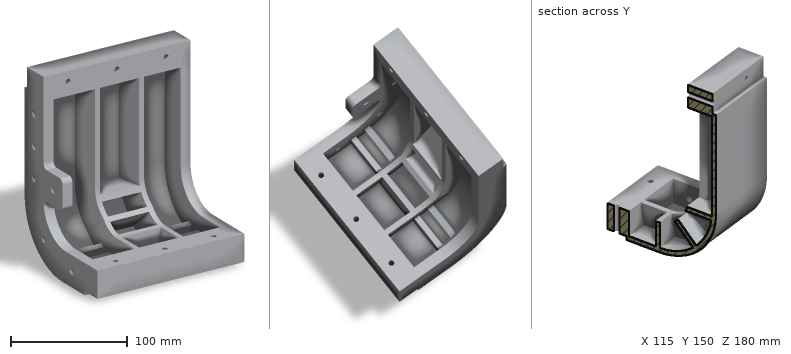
import cadquery as cq
import math

length = 115.0
depth = 150.0
height = 180.0

wall = 30.0
outer_radius = 60.0
inner_radius = 35.0

step_depth = 3.8
step_length = 20.0

skin = 5.0
end_wall = 10.0
rim = 23.2

rib = 5.0
lean_angle = 10
long_rib_offset = 22.5
mitre_shift = 1.5

full_floor_rib_x = 59.0
full_wall_rib_z = 51.7
full_bend_rib_angle = 45
low_floor_rib_x = 56.7
low_bend_rib_angle = 22.5
low_rib_top = wall / 2

tab_size = wall
tab_fillet = 5.0

end_hole = 6.1
wall_hole_count = 3
wall_hole_pitch = 30.0
floor_hole_x = 74.9
bend_hole = (30.6, 29.0)

edge_hole = 5.0
edge_hole_inset = 10.0
edge_hole_pitch = 50.0

front = -depth / 2
back = depth / 2
inner_center = wall + inner_radius
tab_bottom = inner_center
tab_top = tab_bottom + tab_size
tab_middle = (tab_bottom + tab_top) / 2


def block(x_min, x_max, z_min, z_max, y_min=front, y_max=back):
    """Axis-aligned block given by its limits."""
    size = (x_max - x_min, y_max - y_min, z_max - z_min)
    return cq.Workplane("XY").box(*size, centered=False).translate((x_min, y_min, z_min))


def bent_layer(offset, x_end, z_end):
    """L-shaped layer from `offset` inside the outer surface to the inner surface."""
    radius = outer_radius - offset
    outer_middle = outer_radius - radius * math.sqrt(0.5)
    inner_middle = inner_center - inner_radius * math.sqrt(0.5)
    return (
        cq.Workplane("XZ", origin=(0, back, 0))
        .moveTo(offset, z_end)
        .lineTo(offset, outer_radius)
        .threePointArc((outer_middle, outer_middle), (outer_radius, offset))
        .lineTo(x_end, offset)
        .lineTo(x_end, wall)
        .lineTo(inner_center, wall)
        .threePointArc((inner_middle, inner_middle), (wall, inner_center))
        .lineTo(wall, z_end)
        .close()
        .extrude(depth)
    )


def stepped_wall():
    """Solid bent wall with a shallow step at each free end."""
    body = bent_layer(0, length, height)
    body = body.cut(block(0, step_depth, height - step_length, height))
    return body.cut(block(length - step_length, length, 0, step_depth))


def hollow_space():
    """Space inside the wall, between the end walls and up to the rims."""
    layer = bent_layer(skin, length - rim, height - rim)
    return layer.intersect(block(0, length, 0, height, front + end_wall, back - end_wall))


def add_tab(body):
    """Join the tab to the front end wall and round its corners and its root."""
    tab = block(wall / 2, wall + tab_size, tab_bottom, tab_top, front, front + end_wall)
    tab = tab.edges("|Y and >X").fillet(tab_fillet)
    root = cq.selectors.BoxSelector(
        (wall - tab_fillet, front - tab_fillet, tab_bottom - tab_fillet),
        (wall + tab_fillet, front + end_wall + tab_fillet, tab_top + tab_fillet),
    )
    return body.union(tab).edges("|Y").edges(root).fillet(tab_fillet)


def leaning_section(plane, level_first, middle, middle_level):
    """Slab that shifts along Y with its level and is centered on `middle` at `middle_level`."""
    slope = math.tan(math.radians(lean_angle))
    corners = []
    for side, level in ((-1, 0), (1, 0), (1, height), (-1, height)):
        y = middle + side * rib / 2 + slope * (level - middle_level)
        corners.append((level, y) if level_first else (y, level))
    return cq.Workplane(plane).polyline(corners).close().extrude(height)


def mitre_half(corner):
    """Prism on the side of the mitre plane x = z + mitre_shift where `corner` lies."""
    outline = [(0, -mitre_shift), corner, (height, height - mitre_shift)]
    return cq.Workplane("XZ", origin=(0, back, 0)).polyline(outline).close().extrude(depth)


def long_rib(middle):
    """Leaning rib along the bend, its floor and wall halves meeting on the mitre plane."""
    floor_slab = leaning_section("YZ", False, middle, wall / 2)
    wall_slab = leaning_section("XY", True, middle, wall / 2 + mitre_shift)
    floor_half = floor_slab.intersect(mitre_half((height, -mitre_shift)))
    wall_half = wall_slab.intersect(mitre_half((0, height)))
    return floor_half.union(wall_half)


def bend_rib(angle, top):
    """Slab with one face on a radial plane of the bend, `angle` degrees from straight down."""
    upright = block(outer_radius, outer_radius + rib, 0, top)
    axis_start = (outer_radius, 0, outer_radius)
    axis_end = (outer_radius, 1, outer_radius)
    return upright.rotate(axis_start, axis_end, angle)


def full_cross_ribs():
    """Cross ribs reaching the inner surface: on the floor, on the wall and in the bend."""
    floor_rib = block(full_floor_rib_x, full_floor_rib_x + rib, 0, inner_center)
    wall_rib = block(0, inner_center, full_wall_rib_z, full_wall_rib_z + rib)
    return floor_rib.union(wall_rib).union(bend_rib(full_bend_rib_angle, outer_radius))


def low_cross_ribs():
    """Cross ribs reaching half the wall thickness: on the floor and in the bend."""
    floor_rib = block(low_floor_rib_x, low_floor_rib_x + rib, 0, low_rib_top)
    return floor_rib.union(bend_rib(low_bend_rib_angle, low_rib_top))


def front_holes():
    """Cutters through the front end wall and the tab."""
    centers = [(wall / 2, tab_middle + i * wall_hole_pitch) for i in range(wall_hole_count)]
    centers.append((floor_hole_x, wall / 2))
    centers.append(bend_hole)
    centers.append((wall + tab_size / 2, tab_middle))
    plane = cq.Workplane("XZ", origin=(0, front, 0))
    return plane.pushPoints(centers).circle(end_hole / 2).extrude(-end_wall)


def edge_holes(body):
    """Drill a row of holes through the floor rim and another through the wall rim."""
    for i in (-1, 0, 1):
        y = i * edge_hole_pitch
        floor_plane = cq.Workplane("XY").center(length - edge_hole_inset, y)
        wall_plane = cq.Workplane("YZ").center(y, height - edge_hole_inset)
        for plane in (floor_plane, wall_plane):
            body = body.cut(plane.circle(edge_hole / 2).extrude(wall))
    return body


hollow = hollow_space()
panel = add_tab(stepped_wall().cut(hollow))

long_ribs = long_rib(-long_rib_offset).union(long_rib(long_rib_offset)).intersect(hollow)
cells = sorted(hollow.cut(long_ribs).solids().vals(), key=lambda cell: cell.Center().y)
panel = panel.union(long_ribs)

for cell, ribs in zip(cells, (low_cross_ribs(), full_cross_ribs(), low_cross_ribs())):
    panel = panel.union(ribs.intersect(cq.Workplane(cell)))

panel = panel.cut(front_holes())
result = edge_holes(panel)